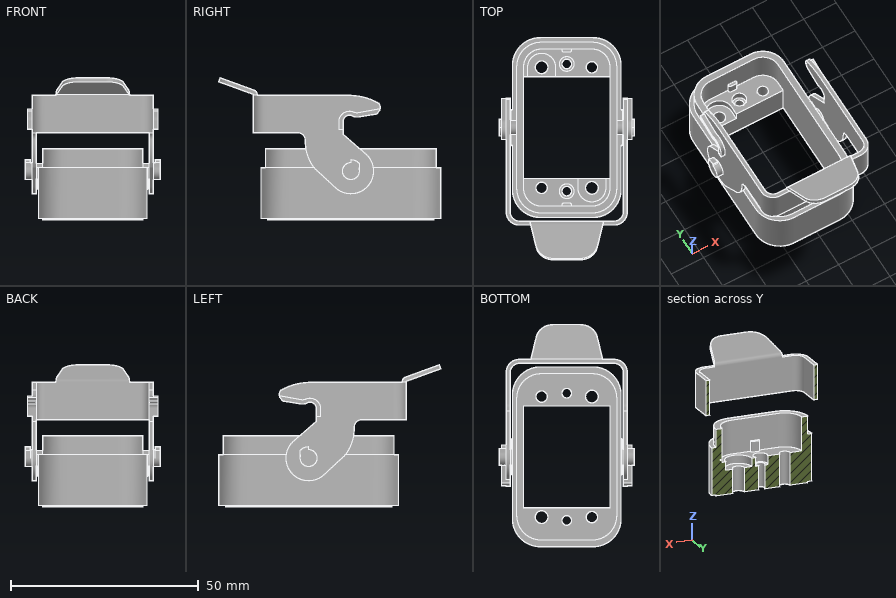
import cadquery as cq
import math


body_width, body_length, body_corner = 29.05, 48, 7.55
shoulder_z = 13.9
rim_width, rim_length, rim_corner = 26.7, 45.55, 6.5
rim_top = 19
cavity_width, cavity_length, cavity_corner = 23.0, 41.85, 4.75
foot_height = 0.3
foot_width, foot_length = rim_width, 44.35

ledge_top = 9.35
opening_length = 27.05
screw_x, screw_y = 6.7, 16.05
pocketed_hole_radius, plain_hole_radius = 1.65, 1.5
pocket_radius, pocket_depth = 3.75, 2.4
centre_hole_y, centre_hole_radius = 16.95, 1.25
counterbore_radius, counterbore_depth = 1.95, 2.5
key_width, key_depth, key_height = 2.5, 0.85, 2.95
key_corner = 0.5

pivot_z = 13.0
boss_radius, boss_face_x, boss_chamfer = 4.85, 14.95, 0.35
shank_radius = 2.1
head_radius = 2.25
pin_span = 36.1
head_face_x = pin_span / 2
stop_radius, stop_inner_x = 3.0, 16.6

lever_half_width, lever_wall = 16.2, 1.1
lever_bottom, lever_top = 23.2, 33.2
lever_front_y, lever_corner = -26.0, 3.55
eye_radius = 6.05
eye_rear_angle = math.radians(48)
eye_front_angle = math.radians(228)
nose_low, nose_tip, nose_upper = (7.7, 29.2), (7.8, 30.2), (7.5, 31.05)
nose_crown, nose_top = (3.8, 32.6), (0, lever_top)
hook_chin, hook_bend = (6.95, 28.15), (1.8, 27.35)
hook_bend_middle, hook_arch = (1.1, 27.4), (0.5, 27.6)
hook_y, hook_corner_z = -2.0, 26.45
hook_corner_middle = (-1.3, 27.55)
neck_rear = (hook_y, 22.75)
belly_low, belly_middle, belly_high = (-9.85, 13.9), (-11.55, 17.2), (-12.2, 21.1)
armpit_middle, armpit_end = (-12.75, 22.6), (-14.2, lever_bottom)
lip_bottom, lip_wall = 24.1, 1.2
lip_corner_middle, lip_arch = (-2.0, 28.4), (0.5, 28.8)
lip_bend_middle, lip_bend, lip_tip = (1.1, 28.6), (1.8, 28.5), (7.75, 29.6)
lip_face_x = 17.45

tab_tip_y, tab_top = -35.3, 37.9
tab_angle, tab_thickness = math.radians(20), 1.2
tab_bend = 1.5
tab_root_width, tab_tip_width, tab_corner = 19.8, 14.7, 4.6


def rounded_block(width, length, corner, bottom, top):
    """Upright block with rounded vertical edges, centred on Z."""
    block = cq.Workplane("XY").workplane(offset=bottom).rect(width, length).extrude(top - bottom)
    return block.edges("|Z").fillet(corner)


def pin_along_x(radius, x_start, x_end):
    """Cylinder on the pivot axis."""
    plane = cq.Workplane("YZ", origin=(x_start, 0, pivot_z))
    return plane.circle(radius).extrude(x_end - x_start)


def both_sides(shape):
    """A shape together with its mirror image across the YZ plane."""
    return shape.union(shape.mirror("YZ"))


def vertical_hole(x, y, radius, bottom):
    return cq.Workplane("XY", origin=(x, y, bottom)).circle(radius).extrude(ledge_top - bottom)


def ledge_cuts():
    """Holes, counterbore and pocket of the +Y ledge."""
    pocket_floor = ledge_top - pocket_depth
    cuts = vertical_hole(-screw_x, screw_y, pocketed_hole_radius, 0)
    cuts = cuts.union(vertical_hole(screw_x, screw_y, plain_hole_radius, 0))
    cuts = cuts.union(vertical_hole(0, centre_hole_y, centre_hole_radius, 0))
    cuts = cuts.union(vertical_hole(0, centre_hole_y, counterbore_radius, ledge_top - counterbore_depth))
    cuts = cuts.union(vertical_hole(-screw_x, screw_y, pocket_radius, pocket_floor))
    slot_length = screw_y - opening_length / 2
    slot = cq.Workplane("XY", origin=(-screw_x, screw_y - slot_length / 2, pocket_floor))
    return cuts.union(slot.rect(2 * pocket_radius, slot_length).extrude(pocket_depth))


def wall_key():
    """Small upright key on the +Y end wall, standing on the ledge."""
    key = cq.Workplane("XY", origin=(0, cavity_length / 2 - key_depth / 2, ledge_top))
    return key.rect(key_width, key_depth).extrude(key_height).edges("|Z and <Y").fillet(key_corner)


def make_housing():
    housing = rounded_block(body_width, body_length, body_corner, foot_height, shoulder_z)
    housing = housing.union(rounded_block(rim_width, rim_length, rim_corner, shoulder_z, rim_top))
    housing = housing.union(rounded_block(foot_width, foot_length, rim_corner, 0, foot_height))
    housing = housing.cut(rounded_block(cavity_width, cavity_length, cavity_corner, ledge_top, rim_top))
    housing = housing.cut(cq.Workplane("XY").rect(cavity_width, opening_length).extrude(ledge_top))
    for turn in (0, 180):
        housing = housing.cut(ledge_cuts().rotate((0, 0, 0), (0, 0, 1), turn))
        housing = housing.union(wall_key().rotate((0, 0, 0), (0, 0, 1), turn))
    return housing


def make_pivots():
    """Bosses on the housing sides and the pins that carry the lever."""
    wall_x = (cavity_width + rim_width) / 4
    boss = pin_along_x(boss_radius, wall_x, boss_face_x).faces(">X").chamfer(boss_chamfer)
    above_shoulder = cq.Workplane("XY").workplane(offset=shoulder_z)
    boss = boss.cut(above_shoulder.rect(2 * head_face_x, body_length).extrude(boss_radius))
    shank = pin_along_x(shank_radius, wall_x, lever_half_width)
    head = pin_along_x(head_radius, lever_half_width, head_face_x)
    stop = pin_along_x(stop_radius, stop_inner_x, head_face_x)
    quadrant = cq.Workplane("YZ", origin=(stop_inner_x, 0, pivot_z))
    quadrant = quadrant.rect(head_radius, stop_radius, centered=False).extrude(head_face_x - stop_inner_x)
    return both_sides(boss.union(shank).union(head).union(stop.intersect(quadrant)))


def eye_point(angle):
    """Point on the rim of the lever eye."""
    return eye_radius * math.cos(angle), pivot_z + eye_radius * math.sin(angle)


def hook_edge(plane):
    """Start an outline at the nose and follow the underside of the hook."""
    return (
        plane.moveTo(*nose_low)
        .lineTo(*hook_chin)
        .lineTo(*hook_bend)
        .threePointArc(hook_bend_middle, hook_arch)
        .threePointArc(hook_corner_middle, (hook_y, hook_corner_z))
    )


def lever_side_profile():
    """Side outline of the lever, with eye, hook and nose."""
    eye_bottom_angle = (eye_rear_angle + eye_front_angle) / 2 + math.pi
    return (
        hook_edge(cq.Workplane("YZ"))
        .lineTo(*neck_rear)
        .lineTo(*eye_point(eye_rear_angle))
        .threePointArc(eye_point(eye_bottom_angle), eye_point(eye_front_angle))
        .lineTo(*belly_low)
        .threePointArc(belly_middle, belly_high)
        .threePointArc(armpit_middle, armpit_end)
        .lineTo(lever_front_y, lever_bottom)
        .lineTo(lever_front_y, lever_top)
        .lineTo(*nose_top)
        .threePointArc(nose_crown, nose_upper)
        .threePointArc(nose_tip, nose_low)
        .close()
    )


def make_lip():
    """Lip bent outwards along the underside of one hook."""
    arm_inner_x = lever_half_width - lever_wall
    lip = (
        hook_edge(cq.Workplane("YZ", origin=(arm_inner_x, 0, 0)))
        .lineTo(hook_y, lip_bottom)
        .lineTo(hook_y - lip_wall, lip_bottom)
        .lineTo(hook_y - lip_wall, hook_corner_z)
        .threePointArc(lip_corner_middle, lip_arch)
        .threePointArc(lip_bend_middle, lip_bend)
        .lineTo(*lip_tip)
        .close()
    )
    return lip.extrude(lip_face_x - arm_inner_x)


def make_lever():
    """U-shaped strap trimmed to the side profile, plus the hook lips."""
    rear_y = 11.85
    length = rear_y - lever_front_y
    centre_y = (rear_y + lever_front_y) / 2
    outer = cq.Workplane("XY").center(0, centre_y).rect(2 * lever_half_width, length)
    outer = outer.extrude(lever_top).edges("|Z and <Y").fillet(lever_corner)
    inner = cq.Workplane("XY").center(0, centre_y + lever_wall)
    inner = inner.rect(2 * (lever_half_width - lever_wall), length).extrude(lever_top)
    inner = inner.edges("|Z and <Y").fillet(lever_corner - lever_wall)
    side = lever_side_profile().extrude(lever_half_width, both=True)
    return outer.cut(inner).intersect(side).union(both_sides(make_lip()))


def make_tab():
    """Pull tab bent forwards from the top edge of the strap."""
    rise = math.tan(tab_angle)
    tip_low = (tab_tip_y, tab_top - tab_thickness * math.cos(tab_angle))
    tip_high = (tab_tip_y + tab_thickness * math.sin(tab_angle), tab_top)
    inner_y = lever_front_y + lever_wall
    overlap_z = lever_top - lever_wall
    root_low = (lever_front_y, tip_low[1] + rise * (tab_tip_y - lever_front_y))
    root_high = (inner_y, tip_high[1] + rise * (tip_high[0] - inner_y))
    strip = cq.Workplane("YZ").polyline([
        tip_low, root_low, (lever_front_y, overlap_z), (inner_y, overlap_z), root_high, tip_high,
    ]).close().extrude(tab_root_width / 2, both=True)
    bend_point = (0, root_high[0], root_high[1])
    strip = strip.edges(cq.selectors.NearestToPointSelector(bend_point)).fillet(tab_bend)
    slope = cq.Plane(
        origin=(0, *tip_low), xDir=(1, 0, 0), normal=(0, math.sin(tab_angle), math.cos(tab_angle))
    )
    taper_length = (inner_y - tab_tip_y) / math.cos(tab_angle)
    plan_length = taper_length + 2 * lever_wall
    plan = cq.Workplane(slope).polyline([
        (-tab_root_width / 2, plan_length),
        (-tab_root_width / 2, taper_length),
        (-tab_tip_width / 2, 0),
        (tab_tip_width / 2, 0),
        (tab_root_width / 2, taper_length),
        (tab_root_width / 2, plan_length),
    ]).close().extrude(tab_root_width, both=True)
    plan = plan.edges(cq.selectors.ParallelDirSelector(slope.zDir)).edges("<Y").fillet(tab_corner)
    return strip.intersect(plan)


result = make_housing().union(make_pivots()).union(make_lever()).union(make_tab())